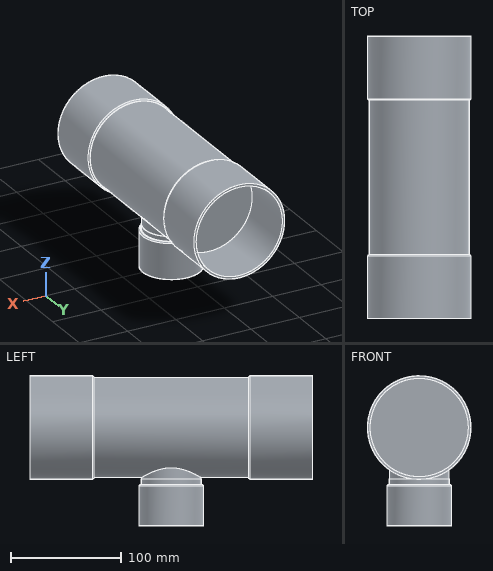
import cadquery as cq

run_length = 256.0
run_diameter = 91.0
socket_diameter = 94.0
socket_bore = 89.0
socket_length = 58.0
socket_depth = 56.8
socket_chamfer = 1.3

total_height = 136.2
root_diameter = 54.0
neck_diameter = 54.5
collar_diameter = 59.0
neck_top = -46.8
collar_length = 37.6
collar_chamfer = 1.3
branch_bottom = socket_diameter / 2 - total_height


def y_cylinder(diameter, length, start):
    """Cylinder along +Y that begins at Y = start."""
    plane = cq.Plane(origin=(0, start, 0), xDir=(1, 0, 0), normal=(0, 1, 0))
    return cq.Workplane(plane).circle(diameter / 2).extrude(length)


def z_cylinder(diameter, bottom, top):
    """Cylinder along Z between two heights."""
    return cq.Workplane("XY").workplane(offset=bottom).circle(diameter / 2).extrude(top - bottom)


def make_run():
    """Run with two enlarged end sockets and blind bores."""
    end = run_length / 2
    run = y_cylinder(run_diameter, run_length, -end)
    near_socket = y_cylinder(socket_diameter, socket_length, -end).faces(">Y").chamfer(socket_chamfer)
    near_bore = y_cylinder(socket_bore, socket_depth, -end)
    run = run.union(near_socket).union(near_socket.mirror("XZ"))
    return run.cut(near_bore).cut(near_bore.mirror("XZ"))


def make_branch():
    """Stepped stub: root in the run, neck, then a collar with a chamfered shoulder."""
    collar_top = branch_bottom + collar_length
    root = z_cylinder(root_diameter, neck_top, 0)
    neck = z_cylinder(neck_diameter, collar_top, neck_top)
    collar = z_cylinder(collar_diameter, branch_bottom, collar_top).faces(">Z").chamfer(collar_chamfer)
    return root.union(neck).union(collar)


result = make_run().union(make_branch())